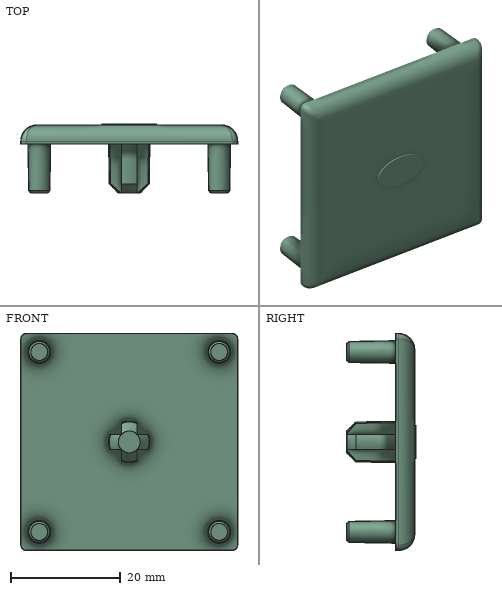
import cadquery as cq
import math

PLATE_SIDE = 39.8
RIM_THICKNESS = 0.5
EDGE_RADIUS = 3.0
CORNER_RADIUS = 1.0
PLATE_THICKNESS = RIM_THICKNESS + EDGE_RADIUS

PAD_LENGTH = 10.0
PAD_HEIGHT = 6.0
PAD_RAISE = 0.2

PIN_LENGTH = 9.0
DRAFT_ANGLE = 1.0
DRAFT_SLOPE = math.tan(math.radians(DRAFT_ANGLE))

PIN_SPACING = 33.0
PIN_ROOT_RADIUS = 2.1
PIN_TIP_RADIUS = 1.55
PIN_CHAMFER_LENGTH = 0.45

POST_ROOT_RADIUS = 3.8
POST_TIP_RADIUS = 2.0
POST_CHAMFER_LENGTH = 1.7
POST_ARM_WIDTH = 2.8


def make_plate():
    """Square plate with a rounded +Y rim; the rounding of the four corners follows the mitred rim."""
    plate = cq.Workplane("XY").box(
        PLATE_SIDE, PLATE_THICKNESS, PLATE_SIDE, centered=(True, False, True)
    )
    plate = plate.faces(">Y").edges().fillet(EDGE_RADIUS)
    return plate.edges("|Y").fillet(CORNER_RADIUS)


def make_pad():
    """Oval pad standing on the +Y face, with its base at the middle of the plate."""
    base = PLATE_THICKNESS / 2
    height = PLATE_THICKNESS + PAD_RAISE - base
    pad = cq.Workplane("XZ").ellipse(PAD_LENGTH / 2, PAD_HEIGHT / 2).extrude(-height)
    return pad.translate((0, base, 0))


def make_drafted_pin(root_radius, tip_radius, chamfer_length):
    """Round pin along -Y that tapers with the draft slope and ends in a flat-tipped conical chamfer."""
    shank_length = PIN_LENGTH - chamfer_length
    shank_end_radius = root_radius - shank_length * DRAFT_SLOPE
    return (
        cq.Workplane("XY")
        .moveTo(0, 0)
        .lineTo(root_radius, 0)
        .lineTo(shank_end_radius, -shank_length)
        .lineTo(tip_radius, -PIN_LENGTH)
        .lineTo(0, -PIN_LENGTH)
        .close()
        .revolve(360, (0, 0, 0), (0, 1, 0))
    )


def make_post():
    """Drafted round pin trimmed to a cross of two equal arms."""
    span = 2 * POST_ROOT_RADIUS
    arms = (
        cq.Workplane("XZ").rect(span, POST_ARM_WIDTH).extrude(PIN_LENGTH)
        .union(cq.Workplane("XZ").rect(POST_ARM_WIDTH, span).extrude(PIN_LENGTH))
    )
    return make_drafted_pin(POST_ROOT_RADIUS, POST_TIP_RADIUS, POST_CHAMFER_LENGTH).intersect(arms)


def make_corner_pins():
    """Four equal pins at the corners of a square."""
    half = PIN_SPACING / 2
    pin = make_drafted_pin(PIN_ROOT_RADIUS, PIN_TIP_RADIUS, PIN_CHAMFER_LENGTH)
    pins = cq.Workplane("XY")
    for x in (-half, half):
        for z in (-half, half):
            pins = pins.add(pin.translate((x, 0, z)))
    return pins.combine()


result = make_plate().union(make_pad()).union(make_post()).union(make_corner_pins())